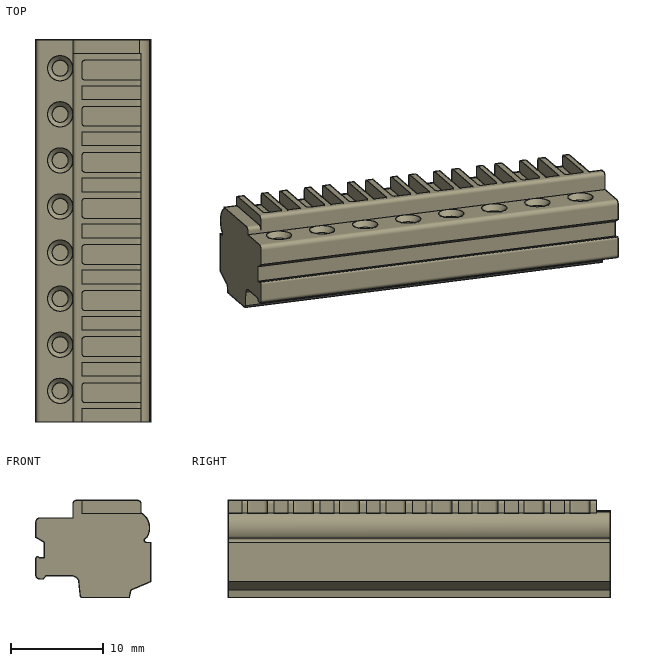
import cadquery as cq

length = 41.5
width = 12.5
height = 10.6

shelf_height = 8.67
shelf_radius = 0.5
groove_depth = 0.9
groove_top = 6.55
groove_root = 6.0
groove_floor = 4.35
groove_lip_height = 4.5
groove_lip_radius = 0.25
groove_lip_width = 0.37
hook_bottom = 2.05
hook_radius = 0.45
hook_width = 0.85
hook_slope = 0.3
underside_height = 2.35
foot_fillet_start = 3.9
foot_top_left = 4.65
foot_top_left_height = 1.85
foot_bottom_left = 4.95
foot_chamfer_width = 0.12
foot_chamfer_height = 0.25

foot_bottom_right = 10.15
foot_top_right = 10.35
foot_top_right_height = 0.85
right_wall_bottom = 1.75
right_wall_top = 6.0
notch_mouth_x = 12.0
notch_root_x = 11.8
notch_width = 0.45
bulge_x = 12.35
bulge_height = 7.68
bulge_end_x = 12.1
bulge_end_height = 6.65
deck_edge = 11.3
deck_height = 9.3

comb_left = 4.03
comb_right = 11.45
comb_radius = 0.4
end_step_length = 1.5
end_step_height = 9.45
cell_left = 5.02
cell_floor = 9.15

cell_count = 8
pitch = 5.0
narrow_cell_length = 1.5
rib_width = 0.62
wide_cell_length = 2.15
wide_cell_radius = 0.35
screw_x = 2.65
first_screw_y = 3.4
screw_top_radius = 1.35
screw_floor_radius = 0.87
screw_depth = 0.62


def make_body():
    """Constant cross-section drawn on the front end and carried back along +Y."""
    hook_corner = hook_width + hook_slope
    notch_middle = right_wall_top + notch_width / 2
    notch_top = right_wall_top + notch_width
    return (
        cq.Workplane("XZ")
        .moveTo(foot_bottom_left, 0)
        .lineTo(foot_bottom_right, 0)
        .lineTo(foot_top_right, foot_top_right_height)
        .lineTo(width, right_wall_bottom)
        .lineTo(width, right_wall_top)
        .lineTo(notch_mouth_x, right_wall_top)
        .threePointArc((notch_root_x, notch_middle), (notch_mouth_x, notch_top))
        .lineTo(bulge_end_x, bulge_end_height)
        .threePointArc((bulge_x, bulge_height), (deck_edge, deck_height))
        .lineTo(cell_left, deck_height)
        .lineTo(cell_left, shelf_height)
        .lineTo(shelf_radius, shelf_height)
        .radiusArc((0, shelf_height - shelf_radius), -shelf_radius)
        .lineTo(0, groove_top)
        .lineTo(groove_depth, groove_root)
        .lineTo(groove_depth, groove_floor)
        .lineTo(groove_lip_width, groove_floor)
        .lineTo(groove_lip_radius, groove_lip_height)
        .radiusArc((0, groove_lip_height - groove_lip_radius), -groove_lip_radius)
        .lineTo(0, hook_bottom + hook_radius)
        .radiusArc((hook_radius, hook_bottom), -hook_radius)
        .lineTo(hook_width, hook_bottom)
        .lineTo(hook_corner, underside_height)
        .lineTo(foot_fillet_start, underside_height)
        .tangentArcPoint((foot_top_left, foot_top_left_height), relative=False)
        .lineTo(foot_bottom_left - foot_chamfer_width, foot_chamfer_height)
        .close()
        .extrude(-length)
    )


def make_cells():
    """Pockets between the ribs, open on the right and alternately narrow and wide."""
    cells = cq.Workplane("XY")
    cell_width = comb_right - cell_left
    depth = height - cell_floor
    for index in range(cell_count):
        narrow_y = index * pitch
        wide_y = narrow_y + narrow_cell_length + rib_width
        narrow = cq.Workplane("XY").box(cell_width, narrow_cell_length, depth, centered=False)
        wide = (
            cq.Workplane("XY")
            .box(cell_width, wide_cell_length, depth, centered=False)
            .edges("|Z and <X")
            .fillet(wide_cell_radius)
        )
        cells = cells.add(narrow.translate((cell_left, narrow_y, cell_floor)))
        cells = cells.add(wide.translate((cell_left, wide_y, cell_floor)))
    return cells.combine()


def make_comb():
    """Solid bar, rounded along both top edges, that the cells divide into ribs."""
    comb_width = comb_right - comb_left
    comb_length = length - end_step_length
    return (
        cq.Workplane("XY")
        .box(comb_width, comb_length, height - shelf_height, centered=False)
        .edges("|Y and >Z")
        .fillet(comb_radius)
        .translate((comb_left, 0, shelf_height))
    )


def make_end_step():
    """Low tongue that carries the comb's left edge on to the back end."""
    return (
        cq.Workplane("XY")
        .box(deck_edge - comb_left, end_step_length, end_step_height - shelf_height, centered=False)
        .edges("|Y and >Z and <X")
        .fillet(comb_radius)
        .translate((comb_left, length - end_step_length, shelf_height))
    )


def make_screw_recesses():
    """Row of conical recesses sunk into the shelf."""
    cone = cq.Solid.makeCone(screw_floor_radius, screw_top_radius, screw_depth)
    recesses = cq.Workplane("XY")
    for index in range(cell_count):
        place = (screw_x, first_screw_y + index * pitch, shelf_height - screw_depth)
        recesses = recesses.add(cone.translate(cq.Vector(*place)))
    return recesses.combine()


result = (
    make_body()
    .union(make_comb())
    .union(make_end_step())
    .cut(make_cells())
    .cut(make_screw_recesses())
)